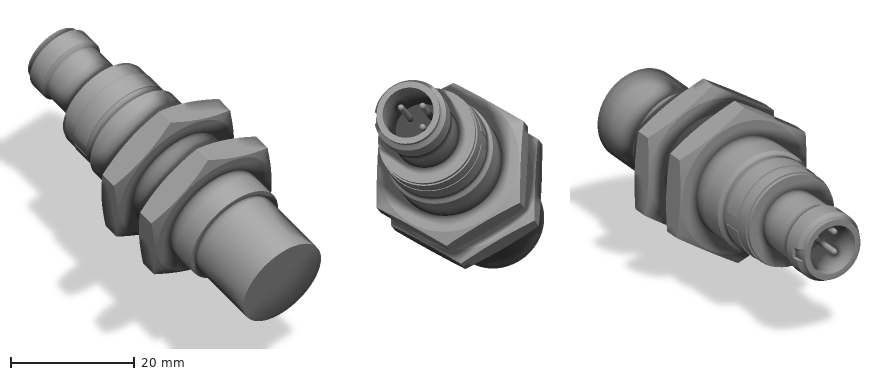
import cadquery as cq
import math


TOTAL_LENGTH = 60.0
BARREL_DIAMETER = 18.0
BARREL_START = 21.05
BARREL_END = 47.45
BARREL_CHAMFER_LENGTH = 0.7
SENSING_END_DIAMETER = 16.0

SHOULDER_START = 12.7
SHOULDER_LIP_LENGTH = 0.65
SHOULDER_LIP_DIAMETER = 16.15
SHOULDER_DIAMETER = 16.6

TIP_DIAMETER = 10.55
COLLAR_DIAMETER = 12.0
NECK_DIAMETER = 10.9
COLLAR_START = 0.7
COLLAR_END = 5.3
COLLAR_CHAMFER_LENGTH = 0.7
NOTCH_WIDTH = 2.05
NOTCH_END = 2.7
SOCKET_DIAMETER = 8.5
SOCKET_DEPTH = 9.0

PIN_DIAMETER = 1.0
PIN_OFFSET = 1.8
PIN_TIP = 2.0
PIN_EMBEDDED_LENGTH = 1.8
PIN_SEATS = [(PIN_OFFSET, PIN_OFFSET), (-PIN_OFFSET, PIN_OFFSET), (-PIN_OFFSET, -PIN_OFFSET)]

WINDOW_START = 15.95
WINDOW_LENGTH = 3.3
WINDOW_OUTER_DIAMETER = 16.85
WINDOW_INNER_DIAMETER = 16.0
WINDOW_GAP = 2.3

NUT_STARTS = [27.7, 37.55]
NUT_THICKNESS = 4.5
NUT_ACROSS_FLATS = 24.0
NUT_FACE_DIAMETER = 23.4
NUT_CHAMFER_LENGTH = 0.8
NUT_TURN = 2.4
NUT_CORNER_DIAMETER = NUT_ACROSS_FLATS / math.cos(math.radians(30))


def cylinder(start, length, diameter, y=0, z=0):
    """Cylinder along X, centred on (y, z)."""
    return cq.Workplane("YZ", origin=(start, y, z)).circle(diameter / 2).extrude(length)


def revolve_profile(stations):
    """Solid of revolution about X through (x, diameter) outline points."""
    outline = [(x, diameter / 2) for x, diameter in stations]
    first_x = stations[0][0]
    last_x = stations[-1][0]
    points = [(first_x, 0)] + outline + [(last_x, 0)]
    return cq.Workplane("XY").polyline(points).close().revolve(360, (0, 0, 0), (1, 0, 0))


def make_window(side):
    """Curved indicator window; side is 1 for the upper one and -1 for the lower one."""
    ring = cylinder(WINDOW_START, WINDOW_LENGTH, WINDOW_OUTER_DIAMETER)
    ring = ring.cut(cylinder(WINDOW_START, WINDOW_LENGTH, WINDOW_INNER_DIAMETER))
    half_height = WINDOW_OUTER_DIAMETER / 2
    half_space = cq.Workplane("XY").box(
        WINDOW_LENGTH, WINDOW_OUTER_DIAMETER, half_height, centered=(False, True, True)
    )
    middle_z = side * (WINDOW_GAP + half_height) / 2
    return ring.intersect(half_space.translate((WINDOW_START, 0, middle_z)))


def make_pin(y, z):
    """Contact pin with a hemispherical tip, seated in the socket floor."""
    length = SOCKET_DEPTH + PIN_EMBEDDED_LENGTH - PIN_TIP
    radius = PIN_DIAMETER / 2
    shank = cylinder(PIN_TIP + radius, length - radius, PIN_DIAMETER, y, z)
    dome = cq.Workplane("XY").sphere(radius).translate((PIN_TIP + radius, y, z))
    return shank.union(dome)


def make_nut(start):
    """Hexagon nut with both faces chamfered and a bore that fits the barrel."""
    end = start + NUT_THICKNESS
    hexagon = cq.Workplane("YZ", origin=(start, 0, 0)).polygon(6, NUT_CORNER_DIAMETER)
    blank = hexagon.extrude(NUT_THICKNESS).rotate((0, 0, 0), (1, 0, 0), 90 + NUT_TURN)
    chamfer_envelope = revolve_profile([
        (start, NUT_FACE_DIAMETER),
        (start + NUT_CHAMFER_LENGTH, NUT_CORNER_DIAMETER),
        (end - NUT_CHAMFER_LENGTH, NUT_CORNER_DIAMETER),
        (end, NUT_FACE_DIAMETER),
    ])
    return blank.intersect(chamfer_envelope).cut(cylinder(start, NUT_THICKNESS, BARREL_DIAMETER))


def make_housing(windows, pins):
    """Stepped housing with its plug socket, collar notch, window recesses and pin holes."""
    lip_end = SHOULDER_START + SHOULDER_LIP_LENGTH
    body = revolve_profile([
        (0, TIP_DIAMETER),
        (COLLAR_START, TIP_DIAMETER),
        (COLLAR_START + COLLAR_CHAMFER_LENGTH, COLLAR_DIAMETER),
        (COLLAR_END - COLLAR_CHAMFER_LENGTH, COLLAR_DIAMETER),
        (COLLAR_END, NECK_DIAMETER),
        (SHOULDER_START, NECK_DIAMETER),
        (SHOULDER_START, SHOULDER_LIP_DIAMETER),
        (lip_end, SHOULDER_LIP_DIAMETER),
        (lip_end, SHOULDER_DIAMETER),
        (BARREL_START - BARREL_CHAMFER_LENGTH, SHOULDER_DIAMETER),
        (BARREL_START, BARREL_DIAMETER),
        (BARREL_END, BARREL_DIAMETER),
        (BARREL_END, SENSING_END_DIAMETER),
        (TOTAL_LENGTH, SENSING_END_DIAMETER),
    ])
    body = body.cut(cylinder(0, SOCKET_DEPTH, SOCKET_DIAMETER))

    notch_length = NOTCH_END - COLLAR_START
    notch = cq.Workplane("XY").box(
        notch_length, COLLAR_DIAMETER, NOTCH_WIDTH, centered=(False, False, True)
    ).translate((COLLAR_START, 0, 0))
    notch = notch.cut(cylinder(COLLAR_START, notch_length, TIP_DIAMETER))
    body = body.cut(notch)

    for insert in windows + pins:
        body = body.cut(insert)
    return body


nuts = [make_nut(start) for start in NUT_STARTS]
windows = [make_window(side) for side in (1, -1)]
pins = [make_pin(y, z) for y, z in PIN_SEATS]
housing = make_housing(windows, pins)

result = cq.Compound.makeCompound([body.val() for body in [housing] + nuts + windows + pins])